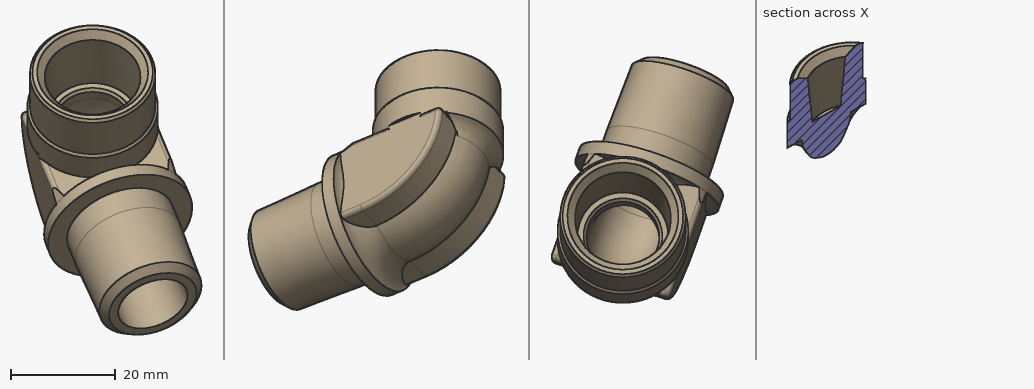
import cadquery as cq
import math


bend_radius = 10.0
tube_radius = 10.0
bore_radius = 6.95
fillet_radius = 4.5

top_z = 26.5
socket_radius = 12.0
collar_radius = 12.5
collar_bottom_z = bend_radius
collar_top_z = 16.5
edge_chamfer = 0.5

mouth_radius = 10.6
seat_radius = 9.15
pocket_radius = 8.65
pocket_floor_z = 12.5
bore_chamfer = 0.55

block_half_width = socket_radius
block_reach = 7.95
block_fillet = 1.0
corner_cone_angle = 15.0

flange_radius = 14.5
flange_start_x = bend_radius + fillet_radius
flange_end_x = 17.1
spigot_radius = 10.7
taper_start_x = 22.05
spigot_end_x = 37.3
spigot_chamfer = 1.5
taper_slope = 1 / 32
taper_end_x = spigot_end_x - spigot_chamfer
spigot_end_radius = spigot_radius - taper_slope * (taper_end_x - taper_start_x)


def bent_rod(radius):
    """Quarter bend from the vertical axis to the horizontal axis."""
    return (
        cq.Workplane("XY", origin=(0, 0, bend_radius))
        .circle(radius)
        .revolve(90, (bend_radius, 0.5, 0), (bend_radius, -0.5, 0))
    )


def x_cylinder(radius, start_x, end_x):
    return cq.Workplane("YZ", origin=(start_x, 0, 0)).circle(radius).extrude(end_x - start_x)


def z_cylinder(radius, start_z, end_z):
    return cq.Workplane("XY", origin=(0, 0, start_z)).circle(radius).extrude(end_z - start_z)


def make_socket():
    collar = z_cylinder(collar_radius, collar_bottom_z, collar_top_z).faces(">Z").chamfer(edge_chamfer)
    sleeve = z_cylinder(socket_radius, collar_bottom_z, top_z).faces(">Z").chamfer(edge_chamfer)
    return collar.union(sleeve)


def make_collar_blend():
    """Concave blend under the back of the collar, tangent to the outside of the bend."""
    outer_bend = bend_radius + tube_radius
    centre_z = collar_bottom_z - fillet_radius
    tangent_angle = math.asin(fillet_radius / (outer_bend + fillet_radius))
    reach = (outer_bend + fillet_radius) * math.cos(tangent_angle)
    centre_r = reach - bend_radius
    tangent_r = outer_bend * math.cos(tangent_angle) - bend_radius
    tangent_z = bend_radius - outer_bend * math.sin(tangent_angle)

    def arc_point(r):
        return (r, centre_z + math.sqrt(fillet_radius**2 - (centre_r - r) ** 2))

    ring = (
        cq.Workplane("XZ")
        .moveTo(bore_radius, tangent_z)
        .lineTo(tangent_r, tangent_z)
        .threePointArc(arc_point((tangent_r + collar_radius) / 2), arc_point(collar_radius))
        .lineTo(collar_radius, collar_bottom_z)
        .lineTo(bore_radius, collar_bottom_z)
        .close()
        .revolve(360, (0, 0, 0), (0, 1, 0))
    )
    span = 2 * collar_radius
    behind_block = cq.Workplane("XY").box(span, span, span).translate((-block_reach - span / 2, 0, 0))
    return ring.intersect(behind_block)


def make_corner_cone():
    """Cone that brings the block corners down to the flange rim."""
    length = flange_start_x + block_reach
    wide_radius = flange_radius + length * math.tan(math.radians(corner_cone_angle))
    return (
        cq.Workplane("XZ")
        .moveTo(-block_reach, 0)
        .lineTo(-block_reach, wide_radius)
        .lineTo(flange_start_x, flange_radius)
        .lineTo(flange_start_x, 0)
        .close()
        .revolve(360, (0, 0, 0), (1, 0, 0))
    )


def make_block():
    """Flat-sided block with a round back, left square where the collar covers it."""
    arc_radius = bend_radius + block_reach
    arc_middle = bend_radius - arc_radius * math.sqrt(0.5)
    plain = (
        cq.Workplane("XZ")
        .moveTo(-block_reach, collar_bottom_z)
        .threePointArc((arc_middle, arc_middle), (bend_radius, -block_reach))
        .lineTo(flange_start_x, -block_reach)
        .lineTo(flange_start_x, collar_bottom_z)
        .close()
        .extrude(block_half_width, both=True)
    )
    side_edges = plain.faces("<Y or >Y").edges("not >X")
    back_top_edge = plain.edges("|Y and <X")
    rounded = side_edges.add(back_top_edge).fillet(block_fillet)
    under_collar = z_cylinder(collar_radius, collar_bottom_z - block_fillet, collar_bottom_z)
    return rounded.union(plain.intersect(under_collar)).intersect(make_corner_cone())


def make_flange_and_spigot():
    arc_offset = fillet_radius * math.sqrt(0.5)
    return (
        cq.Workplane("XZ")
        .moveTo(bend_radius, 0)
        .lineTo(bend_radius, tube_radius)
        .threePointArc(
            (bend_radius + arc_offset, tube_radius + fillet_radius - arc_offset),
            (flange_start_x, flange_radius),
        )
        .lineTo(flange_end_x, flange_radius)
        .lineTo(flange_end_x, spigot_radius)
        .lineTo(taper_start_x, spigot_radius)
        .lineTo(taper_end_x, spigot_end_radius)
        .lineTo(spigot_end_x, spigot_end_radius - spigot_chamfer)
        .lineTo(spigot_end_x, 0)
        .close()
        .revolve(360, (0, 0, 0), (1, 0, 0))
    )


def make_socket_cavity():
    """Lead-in cone, tapered pocket and chamfered bore entry."""
    lead_in_bottom_z = top_z - (mouth_radius - seat_radius)
    return (
        cq.Workplane("XZ")
        .moveTo(0, top_z)
        .lineTo(mouth_radius, top_z)
        .lineTo(seat_radius, lead_in_bottom_z)
        .lineTo(pocket_radius, pocket_floor_z)
        .lineTo(bore_radius + bore_chamfer, pocket_floor_z)
        .lineTo(bore_radius, pocket_floor_z - bore_chamfer)
        .lineTo(bore_radius, bend_radius)
        .lineTo(0, bend_radius)
        .close()
        .revolve(360, (0, 0, 0), (0, 1, 0))
    )


body = (
    bent_rod(tube_radius)
    .union(make_block())
    .union(make_collar_blend())
    .union(make_socket())
    .union(make_flange_and_spigot())
)

result = (
    body.cut(make_socket_cavity())
    .cut(bent_rod(bore_radius))
    .cut(x_cylinder(bore_radius, bend_radius, spigot_end_x))
)